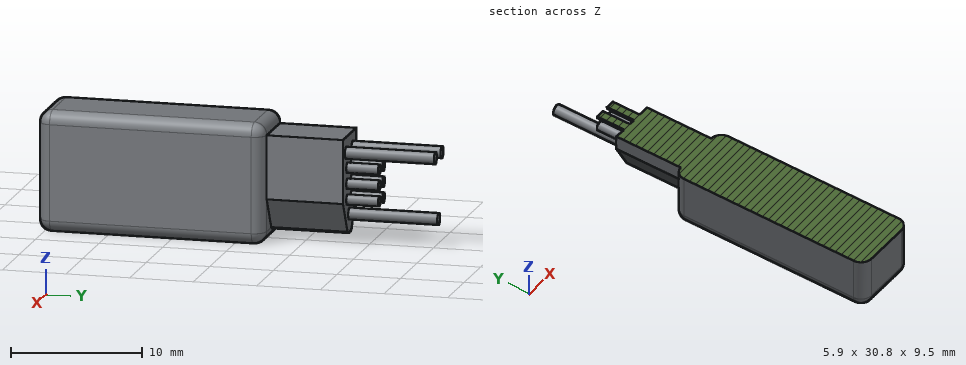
import cadquery as cq

GRIP_WIDTH = 5.9
GRIP_LENGTH = 17.8
GRIP_HEIGHT = 9.5
GRIP_EDGE_RADIUS = 0.97

PLUG_CENTER_X = -0.03
PLUG_WIDTH = 4.05
PLUG_LENGTH = 6.0
PLUG_TOP_Z = 3.77
PLUG_TAPER_START_Z = -1.25
PLUG_BOTTOM_Z = -3.93
PLUG_BOTTOM_WIDTH = 1.1
PLUG_KEEL_CHAMFER = 0.2

PIN_PITCH_Z = 1.25
PIN_CENTER_Z = 0.03
LONG_PIN_DIAMETER = 0.93
LONG_PIN_LENGTH = 7.0
LONG_PIN_OFFSET_X = 1.0
SHORT_PIN_DIAMETER = 0.8
SHORT_PIN_LENGTH = 2.5
SHORT_PIN_OFFSET_X = 0.65

OVERALL_LENGTH = GRIP_LENGTH + PLUG_LENGTH + LONG_PIN_LENGTH
GRIP_FRONT_Y = -OVERALL_LENGTH / 2
PLUG_START_Y = GRIP_FRONT_Y + GRIP_LENGTH
PIN_START_Y = PLUG_START_Y + PLUG_LENGTH


def plane_facing_back(origin):
    """Sketch plane with local x along +Z and local y along +X; extrusions grow toward +Y."""
    return cq.Plane(origin=origin, xDir=(0, 0, 1), normal=(0, 1, 0))


def make_grip():
    profile = cq.Workplane(plane_facing_back((0, GRIP_FRONT_Y, 0))).rect(GRIP_HEIGHT, GRIP_WIDTH)
    return profile.extrude(GRIP_LENGTH).edges().fillet(GRIP_EDGE_RADIUS)


def make_plug():
    half_width = PLUG_WIDTH / 2
    half_bottom = PLUG_BOTTOM_WIDTH / 2
    outline = [
        (PLUG_TOP_Z, -half_width),
        (PLUG_TOP_Z, half_width),
        (PLUG_TAPER_START_Z, half_width),
        (PLUG_BOTTOM_Z, half_bottom),
        (PLUG_BOTTOM_Z, -half_bottom),
        (PLUG_TAPER_START_Z, -half_width),
    ]
    plane = plane_facing_back((PLUG_CENTER_X, PLUG_START_Y, 0))
    block = cq.Workplane(plane).polyline(outline).close().extrude(PLUG_LENGTH)
    return block.faces("<Z").edges("|Y").chamfer(PLUG_KEEL_CHAMFER)


def make_pins(positions, diameter, length):
    """Round pins on the plug's end face; positions are (height, sideways) from the pin centre."""
    plane = plane_facing_back((PLUG_CENTER_X, PIN_START_Y, PIN_CENTER_Z))
    return cq.Workplane(plane).pushPoints(positions).circle(diameter / 2).extrude(length)


long_pin_positions = [
    (2 * PIN_PITCH_Z, -LONG_PIN_OFFSET_X),
    (2 * PIN_PITCH_Z, LONG_PIN_OFFSET_X),
    (-2 * PIN_PITCH_Z, 0),
]
short_pin_positions = [
    (level * PIN_PITCH_Z, side * SHORT_PIN_OFFSET_X)
    for side in (-1, 1)
    for level in (-1, 0, 1)
]

result = (
    make_grip()
    .union(make_plug())
    .union(make_pins(long_pin_positions, LONG_PIN_DIAMETER, LONG_PIN_LENGTH))
    .union(make_pins(short_pin_positions, SHORT_PIN_DIAMETER, SHORT_PIN_LENGTH))
)